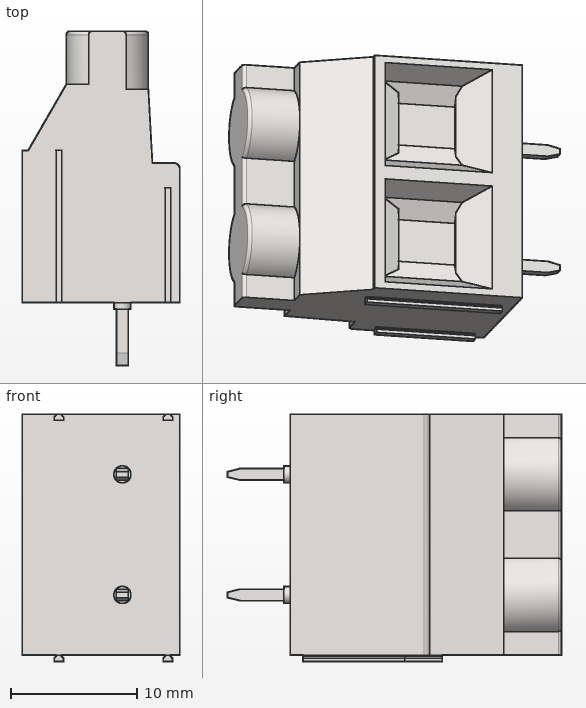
import cadquery as cq


total_length = 26.5
total_height = 19.6
pin_length = 4.98
body_width = 12.5
body_depth = total_length - pin_length
rail_height = 0.5
body_height = total_height - rail_height
wire_face_depth = 12.05
wire_face_lip = 0.48
shoulder_depth = 11.08
shoulder_x = 10.34
shoulder_radius = 0.5

pole_count = 2
pole_pitch = body_height / pole_count
pole_heights = [pole_pitch * (i + 0.5) for i in range(pole_count)]

tower_x = 6.75
tower_radius = 3.25
tower_left = tower_x - tower_radius
tower_right = tower_x + tower_radius
left_ledge_depth = 17.3
right_ledge_depth = 16.9
web_thickness = 2.97
web_left = tower_x - web_thickness / 2
web_right = tower_x + web_thickness / 2
top_fillet = 0.3

entry_near = 2.46
entry_far = 11.2
entry_throat_near = 4.85
entry_throat_far = 9.55
entry_height = 8.45
entry_waist_height = 6.5
entry_floor_height = 3.42
entry_waist_depth = 1.9
entry_far_wall_depth = 1.8
entry_throat_depth = 2.3
entry_floor_depth = 2.7

rail_runs = [(2.92, wire_face_depth), (11.55, 9.1)]
rail_start = 1.0
rail_neck_width = 0.42
rail_foot_width = 0.77
rail_neck_end = 0.08
rail_flare_end = 0.25

pin_x = 7.95
collar_diameter = 1.35
collar_length = 0.5
blade_width = 0.95
blade_thickness = 0.93
tip_length = 1.0
tip_thickness = 0.42


def make_housing():
    """Stepped block with the web between the towers, extruded over the full height."""
    profile = [
        (0, 0),
        (body_width, 0),
        (body_width, shoulder_depth),
        (shoulder_x, shoulder_depth),
        (tower_right, right_ledge_depth),
        (web_right, right_ledge_depth),
        (web_right, body_depth),
        (web_left, body_depth),
        (web_left, left_ledge_depth),
        (tower_left, left_ledge_depth),
        (wire_face_lip, wire_face_depth),
        (0, wire_face_depth),
    ]
    housing = cq.Workplane("XY").polyline(profile).close().extrude(body_height)
    shoulder_corner = cq.selectors.NearestToPointSelector(
        (body_width, shoulder_depth, body_height / 2)
    )
    housing = housing.edges(shoulder_corner).fillet(shoulder_radius)
    return housing.faces(">Y").edges("|Z").fillet(top_fillet)


def make_tower(height):
    """Round screw tower with a rounded outer rim."""
    tower = (
        cq.Workplane("XZ", origin=(tower_x, body_depth, height))
        .circle(tower_radius)
        .extrude(body_depth - right_ledge_depth)
    )
    return tower.faces(">Y").edges().fillet(top_fillet)


def make_wire_entry(height):
    """Funnel-shaped wire entry, where a plan profile and a side profile overlap."""
    plan = [
        (0, entry_near),
        (entry_throat_depth, entry_throat_near),
        (entry_floor_depth, entry_throat_near),
        (entry_floor_depth, entry_throat_far),
        (entry_throat_depth, entry_throat_far),
        (entry_far_wall_depth, entry_far),
        (0, entry_far),
    ]
    side = [
        (0, -entry_height / 2),
        (entry_waist_depth, -entry_waist_height / 2),
        (entry_floor_depth, -entry_floor_height / 2),
        (entry_floor_depth, entry_floor_height / 2),
        (entry_waist_depth, entry_waist_height / 2),
        (0, entry_height / 2),
    ]
    plan_solid = (
        cq.Workplane("XY", origin=(0, 0, height - entry_height / 2))
        .polyline(plan)
        .close()
        .extrude(entry_height)
    )
    side_solid = (
        cq.Workplane("XZ", origin=(0, 0, height))
        .polyline(side)
        .close()
        .extrude(-entry_far)
    )
    return plan_solid.intersect(side_solid)


def make_rail(centre_x, start_y, end_y, base_z):
    """Flared rail hanging down from base_z; also the cutter for its groove."""
    profile = [
        (-rail_neck_width / 2, 0),
        (-rail_neck_width / 2, -rail_neck_end),
        (-rail_foot_width / 2, -rail_flare_end),
        (-rail_foot_width / 2, -rail_height),
        (rail_foot_width / 2, -rail_height),
        (rail_foot_width / 2, -rail_flare_end),
        (rail_neck_width / 2, -rail_neck_end),
        (rail_neck_width / 2, 0),
    ]
    return (
        cq.Workplane("XZ", origin=(centre_x, start_y, base_z))
        .polyline(profile)
        .close()
        .extrude(start_y - end_y)
    )


def make_pin(height):
    """Solder pin: round collar and a square blade with a wedge tip."""
    collar = (
        cq.Workplane("XZ", origin=(pin_x, 0, height))
        .circle(collar_diameter / 2)
        .extrude(collar_length)
    )
    blade_profile = [
        (0, -blade_thickness / 2),
        (tip_length - pin_length, -blade_thickness / 2),
        (-pin_length, -tip_thickness / 2),
        (-pin_length, tip_thickness / 2),
        (tip_length - pin_length, blade_thickness / 2),
        (0, blade_thickness / 2),
    ]
    blade = (
        cq.Workplane("YZ", origin=(pin_x, 0, height))
        .polyline(blade_profile)
        .close()
        .extrude(blade_width / 2, both=True)
    )
    return collar.union(blade)


result = make_housing()
for pole_height in pole_heights:
    result = result.union(make_tower(pole_height))
    result = result.union(make_pin(pole_height))
    result = result.cut(make_wire_entry(pole_height))
for rail_x, rail_end in rail_runs:
    result = result.union(make_rail(rail_x, rail_start, rail_end, 0))
    result = result.cut(make_rail(rail_x, 0, rail_end, body_height))